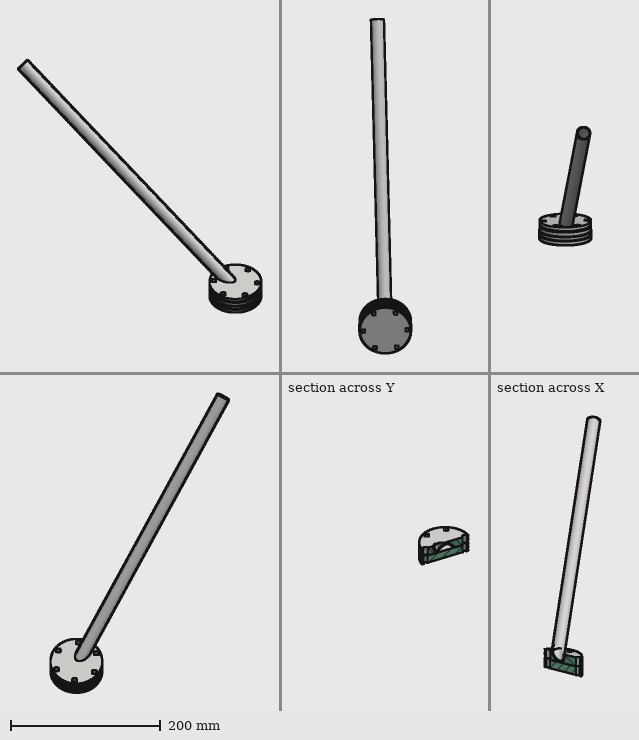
import cadquery as cq
import math

base_diameter = 70.0
flange_diameter = 69.5
stack_height = 25.5
split_height = stack_height / 2
edge_chamfer = 1.0
rim_relief = 0.5

base_groove_bottom = 6.0
base_groove_height = 1.0
flange_groove_bottom = 18.3
flange_groove_height = 2.0

bolt_count = 6
bolt_circle_diameter = 58.7
clearance_diameter = 6.5
base_hole_diameter = 5.0

tube_outer_diameter = 18.0
tube_bore_diameter = 16.0
tube_length = 412.7
tube_axis_height = 14.0
tube_elevation = math.radians(33.5)
tube_heading = math.radians(210)
tube_extension = tube_outer_diameter * 2

tube_direction = cq.Vector(
    math.cos(tube_elevation) * math.cos(tube_heading),
    math.cos(tube_elevation) * math.sin(tube_heading),
    math.sin(tube_elevation),
)


def disc(diameter, bottom, height):
    """Cylinder centred on the Z axis."""
    return cq.Workplane("XY").workplane(offset=bottom).circle(diameter / 2).extrude(height)


def rim_groove(diameter, bottom, height):
    """Ring to cut a shallow groove into a rim of the given diameter."""
    return disc(diameter + 2 * rim_relief, bottom, height).cut(
        disc(diameter - 2 * rim_relief, bottom, height)
    )


def bolt_holes(diameter):
    """Cutters for the bolt circle, through the whole stack."""
    return (
        cq.Workplane("XY")
        .polarArray(bolt_circle_diameter / 2, 0, 360, bolt_count)
        .circle(diameter / 2)
        .extrude(stack_height)
    )


def slanted_rod(diameter):
    """Rod along the tube axis, trimmed flush with the underside of the flange."""
    start = cq.Vector(0, 0, tube_axis_height) - tube_direction * tube_extension
    axis_plane = cq.Plane(origin=start.toTuple(), normal=tube_direction.toTuple())
    rod = cq.Workplane(axis_plane).circle(diameter / 2).extrude(tube_length + tube_extension)
    below_flange = disc(4 * base_diameter, split_height - tube_extension, tube_extension)
    return rod.cut(below_flange)


def make_base():
    base = disc(base_diameter, 0, split_height)
    base = base.faces("<Z").chamfer(edge_chamfer)
    base = base.faces(">Z").chamfer(edge_chamfer, rim_relief)
    base = base.cut(rim_groove(base_diameter, base_groove_bottom, base_groove_height))
    return base.cut(bolt_holes(base_hole_diameter))


def make_flange():
    flange = disc(flange_diameter, split_height, stack_height - split_height)
    flange = flange.cut(rim_groove(flange_diameter, flange_groove_bottom, flange_groove_height))
    flange = flange.cut(bolt_holes(clearance_diameter))
    return flange.cut(slanted_rod(tube_outer_diameter))


def make_tube():
    return slanted_rod(tube_outer_diameter).cut(slanted_rod(tube_bore_diameter))


base = make_base()
flange = make_flange()
tube = make_tube()

result = cq.Compound.makeCompound([base.val(), flange.val(), tube.val()])